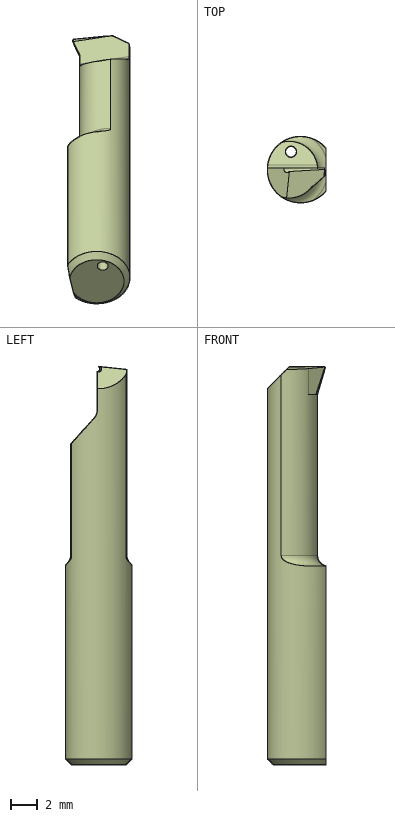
import cadquery as cq
import math

total_length = 30.0
shank_diameter = 5.0
width_over_flat = 4.45
shank_radius = shank_diameter / 2
clamp_flat_x = width_over_flat - shank_radius
foot_chamfer = 0.45

neck_radius = 2.13
neck_right_x = 1.3
neck_axis_x = neck_right_x - neck_radius
shoulder_z = 14.97
shoulder_fillet = 0.78
coolant_diameter = 0.8
coolant_x = -0.72
coolant_y = 1.35

rake_y = 0.12
ramp_top_z = 26.37
ramp_angle = 48.0
ramp_fillet = 0.9
lip_y = 0.0
relief_angle = 6.0
back_chamfer = 1.68

blade_tip_x = 1.9
blade_root_x = 1.25
blade_bottom_z = 27.87
blade_side_angle = 42.0
nose_chamfer = 0.1

groove_radius = 0.25
groove_z = 29.82
groove_tip_y = 0.18
groove_skew = 3.0

clear = 6.0


def cylinder(radius, height, x=0.0, y=0.0):
    return cq.Workplane("XY").center(x, y).circle(radius).extrude(height)


def bar():
    """Shank outline over the full length, with the foot chamfer and the clamping flat."""
    body = cylinder(shank_radius, total_length).faces("<Z").chamfer(foot_chamfer)
    flat_cut = cq.Workplane("XY").box(
        clear, 2 * clear, total_length, centered=(False, True, False)
    ).translate((clamp_flat_x, 0, 0))
    return body.cut(flat_cut)


def neck_envelope():
    """Solid of revolution about the neck axis that turns the bar down above the shoulder."""
    foot = cylinder(clear, shoulder_z)
    neck = cylinder(neck_radius, total_length)
    return (
        foot.union(neck)
        .edges(cq.selectors.NearestToPointSelector((-neck_radius, 0, shoulder_z)))
        .fillet(shoulder_fillet)
        .translate((neck_axis_x, 0, 0))
    )


def blade():
    """Tooth whose side runs off tangent to the neck, with relief behind its edges."""
    side = math.radians(blade_side_angle)
    tangent_x = neck_axis_x + neck_radius * math.sin(side)
    tangent_y = -neck_radius * math.cos(side)
    side_end_y = tangent_y + (blade_tip_x - tangent_x) * math.tan(side)
    plan = (
        cq.Workplane("XY", origin=(0, 0, blade_bottom_z))
        .polyline([
            (neck_axis_x, rake_y),
            (blade_tip_x, rake_y),
            (blade_tip_x, side_end_y),
            (tangent_x, tangent_y),
            (neck_axis_x, 0),
        ])
        .close()
        .extrude(total_length - blade_bottom_z)
    )
    flank_slope = (blade_tip_x - blade_root_x) / (total_length - blade_bottom_z)
    profile_bottom_x = blade_root_x - flank_slope * clear
    profile_top_z = total_length + (rake_y - lip_y) * math.tan(math.radians(relief_angle))
    relieved = (
        cq.Workplane("XZ", origin=(0, rake_y, 0))
        .polyline([
            (-clear, profile_top_z),
            (blade_tip_x - nose_chamfer, profile_top_z),
            (blade_tip_x, profile_top_z - nose_chamfer),
            (profile_bottom_x, blade_bottom_z - clear),
            (-clear, blade_bottom_z - clear),
        ])
        .close()
        .extrude(clear, taper=relief_angle)
    )
    return plan.intersect(relieved)


def head_cut():
    """Space behind the rake face and above the ramp, through the whole width."""
    ramp_drop = clear * math.tan(math.radians(ramp_angle))
    return (
        cq.Workplane("YZ", origin=(-clear, 0, 0))
        .polyline([
            (rake_y, total_length + clear),
            (rake_y, ramp_top_z),
            (rake_y + clear, ramp_top_z - ramp_drop),
            (rake_y + clear, total_length + clear),
        ])
        .close()
        .extrude(2 * clear)
        .edges(cq.selectors.NearestToPointSelector((0, rake_y, ramp_top_z)))
        .fillet(ramp_fillet)
    )


def top_relief_cut():
    """Wedge that lets the top fall away toward -Y from the cutting lip."""
    drop = clear * math.tan(math.radians(relief_angle))
    return (
        cq.Workplane("YZ", origin=(-clear, 0, 0))
        .polyline([
            (lip_y, total_length),
            (lip_y - clear, total_length),
            (lip_y - clear, total_length - drop),
        ])
        .close()
        .extrude(2 * clear)
    )


def back_chamfer_cut():
    """Corner above the 45 degree slope on the -X side of the tip."""
    corner_x = -shank_radius
    return (
        cq.Workplane("XZ", origin=(0, clear, 0))
        .polyline([
            (corner_x - clear, total_length - back_chamfer - clear),
            (corner_x + back_chamfer + clear, total_length + clear),
            (corner_x - clear, total_length + clear),
        ])
        .close()
        .extrude(2 * clear)
    )


def chip_groove():
    """Round groove across the rake face, turned slightly about Z."""
    return (
        cq.Workplane("YZ")
        .circle(groove_radius)
        .extrude(clear, both=True)
        .rotate((0, 0, 0), (0, 0, 1), groove_skew)
        .translate((blade_tip_x, groove_tip_y, groove_z))
    )


result = (
    bar()
    .intersect(neck_envelope())
    .union(blade())
    .cut(head_cut())
    .cut(top_relief_cut())
    .cut(back_chamfer_cut())
    .cut(chip_groove())
    .cut(cylinder(coolant_diameter / 2, total_length, coolant_x, coolant_y))
)